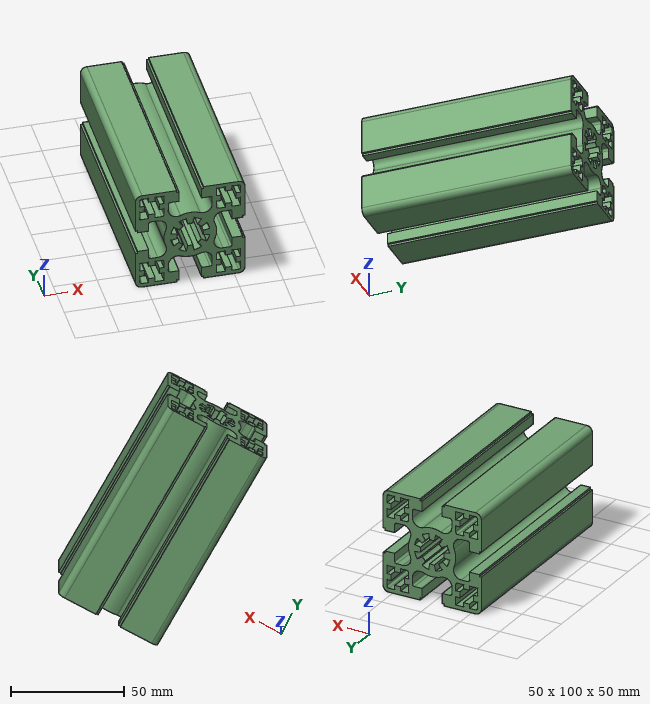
import cadquery as cq
import math

length = 100.0
side = 50.0
half_side = side / 2
corner_radius = 3.0

mouth_half_width = 5.1
step_half_width = 6.1
step_depth = 1.0
lip_thickness = 6.0
chamber_half_width = 10.0
chamber_corner_radius = 1.0
chamber_floor_radius = 4.0
hub_radius = 12.0

pocket_offset = 17.5
pocket_side = 11.0
pocket_corner_radius = 1.0
rib_width = 3.0
rib_gap = 6.8

tooth_count = 8
bore_tip_radius = 6.0
bore_root_radius = 9.0
pitch_angle = 360 / tooth_count
gap_angle = pitch_angle / 2


def prism(sketch):
    """Push a closed profile in the XZ plane through the full length."""
    return sketch.extrude(length / 2, both=True)


def around_axis(body, angle):
    """Turn a body about the long (Y) axis of the profile."""
    return body.rotate((0, 0, 0), (0, 1, 0), angle)


def polar_point(radius, angle):
    """Point in the XZ plane at an angle in degrees from +X."""
    turn = math.radians(angle)
    return radius * math.cos(turn), radius * math.sin(turn)


def t_slot():
    """T-slot open to +Z whose floor arcs blend tangentially into the round hub."""
    step_z = half_side - step_depth
    lip_z = half_side - lip_thickness

    arc_x = chamber_half_width - chamber_floor_radius
    arc_distance = hub_radius + chamber_floor_radius
    arc_z = math.sqrt(arc_distance**2 - arc_x**2)
    blend_x = arc_x * hub_radius / arc_distance
    blend_z = arc_z * hub_radius / arc_distance
    arc_bottom_z = arc_z - chamber_floor_radius

    chamber = prism(
        cq.Workplane("XZ")
        .moveTo(-chamber_half_width, lip_z)
        .lineTo(-chamber_half_width, arc_z)
        .threePointArc((-arc_x, arc_bottom_z), (-blend_x, blend_z))
        .threePointArc((0, hub_radius), (blend_x, blend_z))
        .threePointArc((arc_x, arc_bottom_z), (chamber_half_width, arc_z))
        .lineTo(chamber_half_width, lip_z)
        .close()
    )
    chamber = chamber.faces(">Z").edges("|Y").fillet(chamber_corner_radius)

    mouth = prism(
        cq.Workplane("XZ")
        .moveTo(-mouth_half_width, arc_z)
        .lineTo(-mouth_half_width, step_z)
        .lineTo(-step_half_width, step_z)
        .lineTo(-step_half_width, half_side)
        .lineTo(step_half_width, half_side)
        .lineTo(step_half_width, step_z)
        .lineTo(mouth_half_width, step_z)
        .lineTo(mouth_half_width, arc_z)
        .close()
    )
    return chamber.union(mouth)


def corner_pocket():
    """Square pocket in the +X +Z corner with a rib in the middle of each wall."""
    pocket = prism(cq.Workplane("XZ").rect(pocket_side, pocket_side))
    for corner in (-half_side, half_side):
        nearest_edge = cq.selectors.NearestToPointSelector((corner, 0, corner))
        pocket = pocket.edges("|Y").edges(nearest_edge).fillet(pocket_corner_radius)

    rib_height = (pocket_side - rib_gap) / 2
    rib_middle = (rib_gap + rib_height) / 2
    rib = prism(cq.Workplane("XZ").center(0, rib_middle).rect(rib_width, rib_height))
    for quarter in range(4):
        pocket = pocket.cut(around_axis(rib, 90 * quarter))
    return pocket.translate((pocket_offset, 0, pocket_offset))


def toothed_bore():
    """Round bore with gaps cut outward between the radial teeth."""
    bore = prism(cq.Workplane("XZ").circle(bore_tip_radius))
    gap_start = (pitch_angle - gap_angle) / 2
    gap_middle = gap_start + gap_angle / 2
    gap_end = gap_start + gap_angle
    gap = prism(
        cq.Workplane("XZ")
        .lineTo(*polar_point(bore_root_radius, gap_start))
        .threePointArc(
            polar_point(bore_root_radius, gap_middle),
            polar_point(bore_root_radius, gap_end),
        )
        .close()
    )
    for index in range(tooth_count):
        bore = bore.union(around_axis(gap, index * pitch_angle))
    return bore


bar = prism(cq.Workplane("XZ").rect(side, side)).edges("|Y").fillet(corner_radius)
slot_and_pocket_cuts = (t_slot(), corner_pocket())
for quarter in range(4):
    for cutter in slot_and_pocket_cuts:
        bar = bar.cut(around_axis(cutter, 90 * quarter))

result = bar.cut(toothed_bore())